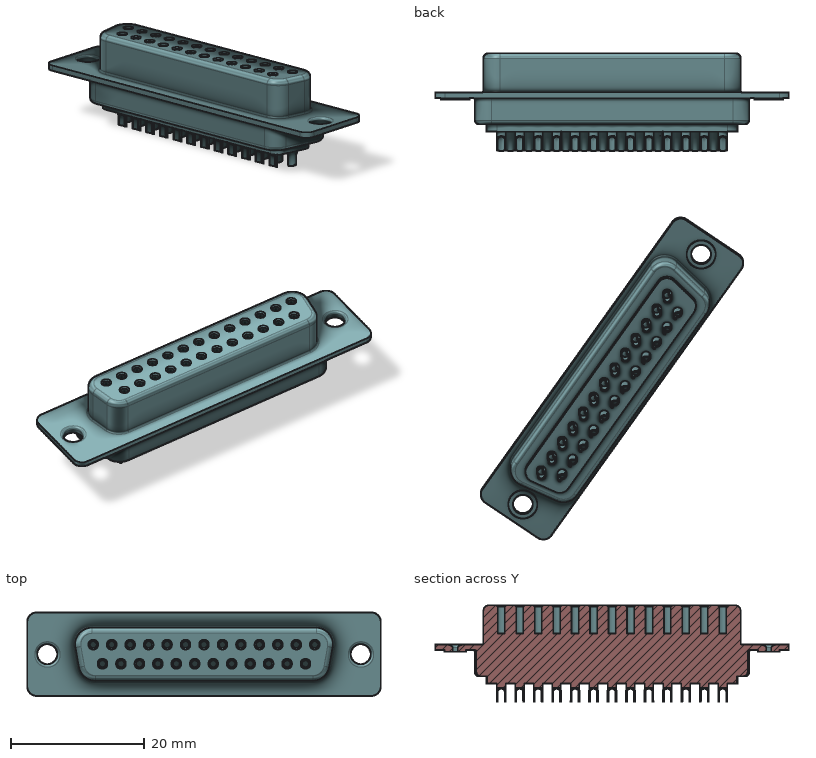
import cadquery as cq
import math


flange_length = 53.05
flange_width = 12.55
flange_thickness = 0.85
flange_corner_radius = 1.5

mount_offset = 23.5
mount_radius = 1.5
mount_lip_radius = 0.4
mount_boss_radius = 2.2
mount_boss_height = 0.25

side_angle = 10.0
shell_corner_radius = 2.5
root_fillet = 0.25

front_half_length = 19.3
front_half_width = 4.0
front_height = 5.9
front_edge_fillet = 0.8

rear_half_length = 20.6
rear_half_width = 5.4
rear_height = 3.9
rear_edge_fillet = 0.65

insert_half_length = 18.85
insert_half_width = 3.5
insert_height = 1.1
insert_corner_radius = 1.55

long_row_count = 13
short_row_count = long_row_count - 1
long_row_length = 33.2
contact_pitch = long_row_length / (long_row_count - 1)
row_y = 1.45

socket_radius = 0.505
socket_mouth_radius = 0.75
socket_lead_in = 0.2
socket_depth = 4.25

cup_radius = 0.7
cup_bore_radius = 0.505
cup_length = 2.9
cup_collar_length = 0.65
cup_shoulder_length = 1.05
cup_wall_reach = 0.1
cup_tip_slope = 0.25
cup_tip_fillet = 0.25

flange_back = -flange_thickness
rear_bottom = flange_back - rear_height
insert_bottom = rear_bottom - insert_height


def d_prism(half_length, half_width, corner_radius, bottom, height):
    """Extruded D: a trapezoid, wide at +Y, rounded so its widest point is half_length."""
    lean = math.radians(side_angle)
    sharp_extra = corner_radius * (math.tan(math.pi / 4 + lean / 2) - 1)
    wide = half_length + sharp_extra
    narrow = wide - 2 * half_width * math.tan(lean)
    outline = [
        (-wide, half_width),
        (wide, half_width),
        (narrow, -half_width),
        (-narrow, -half_width),
    ]
    prism = cq.Workplane("XY").workplane(offset=bottom).polyline(outline).close().extrude(height)
    return prism.edges("|Z").fillet(corner_radius)


def contact_points():
    """Centres of all contacts, with the direction (+1 or -1) of their row along Y."""
    points = []
    for count, direction in ((long_row_count, 1), (short_row_count, -1)):
        for index in range(count):
            x = (index - (count - 1) / 2) * contact_pitch
            points.append((x, direction * row_y, direction))
    return points


def edges_at(body, x, half_length, half_width, level):
    """Edges at one level that lie within a rectangle centred at (x, 0)."""
    margin = 0.05
    box = cq.selectors.BoxSelector(
        (x - half_length - margin, -half_width - margin, level - margin),
        (x + half_length + margin, half_width + margin, level + margin),
        boundingbox=True,
    )
    return body.edges(box)


def make_flange():
    flange = (
        cq.Workplane("XY")
        .workplane(offset=flange_back)
        .rect(flange_length, flange_width)
        .extrude(flange_thickness)
        .edges("|Z")
        .fillet(flange_corner_radius)
    )
    mounts = [(-mount_offset, 0), (mount_offset, 0)]
    bosses = (
        cq.Workplane("XY")
        .workplane(offset=flange_back)
        .pushPoints(mounts)
        .circle(mount_boss_radius)
        .extrude(-mount_boss_height)
    )
    holes = (
        cq.Workplane("XY")
        .pushPoints(mounts)
        .circle(mount_radius)
        .extrude(flange_back - mount_boss_height)
    )
    flange = flange.union(bosses).cut(holes)
    for x, _ in mounts:
        flange = edges_at(flange, x, mount_radius, mount_radius, 0).fillet(mount_lip_radius)
    return flange


def make_socket():
    """Blind contact hole with a conical lead-in, opening at the origin towards +Z."""
    profile = [
        (0, 0),
        (socket_mouth_radius, 0),
        (socket_radius, -socket_lead_in),
        (socket_radius, -socket_depth),
        (0, -socket_depth),
    ]
    return cq.Workplane("XZ").polyline(profile).close().revolve(360, (0, 0), (0, 1))


def make_cup():
    """Solder cup hanging down from the origin, open towards +Y."""
    side = (
        cq.Workplane("YZ")
        .moveTo(-cup_radius, 0)
        .lineTo(cup_radius, 0)
        .lineTo(cup_radius, -cup_collar_length)
        .lineTo(cup_wall_reach, -cup_shoulder_length)
        .lineTo(cup_wall_reach, cup_tip_slope - cup_length)
        .lineTo(-cup_radius, -cup_length)
        .close()
        .extrude(cup_radius, both=True)
        .edges("|X and >(0, 1, -1)")
        .fillet(cup_tip_fillet)
    )
    pin = cq.Workplane("XY").circle(cup_radius).extrude(-cup_length)
    bore = (
        cq.Workplane("XY")
        .workplane(offset=-cup_collar_length)
        .circle(cup_bore_radius)
        .extrude(-cup_length)
    )
    return pin.intersect(side).cut(bore)


front = d_prism(front_half_length, front_half_width, shell_corner_radius, 0, front_height)
front = front.faces(">Z").edges().fillet(front_edge_fillet)
rear = d_prism(rear_half_length, rear_half_width, shell_corner_radius, rear_bottom, rear_height)
rear = rear.faces("<Z").edges().fillet(rear_edge_fillet)
body = make_flange().union(front).union(rear)
body = edges_at(body, 0, front_half_length, front_half_width, 0).fillet(root_fillet)
body = edges_at(body, 0, rear_half_length, rear_half_width, flange_back).fillet(root_fillet)

body = body.union(
    d_prism(insert_half_length, insert_half_width, insert_corner_radius, insert_bottom, insert_height)
)

socket = make_socket()
cup = make_cup()
for x, y, direction in contact_points():
    facing = 0 if direction > 0 else 180
    placed_cup = cup.rotate((0, 0, 0), (0, 0, 1), facing).translate((x, y, insert_bottom))
    body = body.union(placed_cup).cut(socket.translate((x, y, front_height)))

result = body